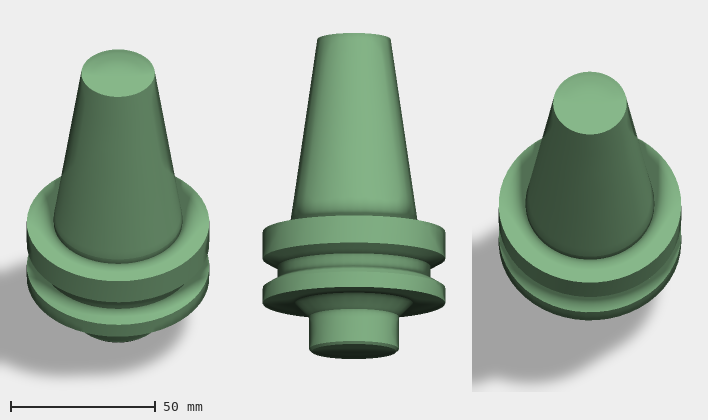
import cadquery as cq

flange_diameter = 63.0
groove_diameter = 53.0
taper_large_diameter = 44.4
taper_small_diameter = 25.4
nose_diameter = 31.0
neck_cone_diameter = 40.9

total_height = 109.4
nose_top = 12.1
flange_bottom = 17.0
lower_rim_top = 22.3
groove_bottom = 25.3
groove_top = 29.6
upper_rim_bottom = 32.5
flange_top = 42.0
taper_bottom = 44.0

nose_chamfer = 0.9


def tool_holder_body():
    """Revolve the half profile, given as (radius, height), about the Z axis."""
    flange_radius = flange_diameter / 2
    groove_radius = groove_diameter / 2
    taper_large_radius = taper_large_diameter / 2
    nose_radius = nose_diameter / 2
    profile = [
        (0, 0),
        (nose_radius - nose_chamfer, 0),
        (nose_radius, nose_chamfer),
        (nose_radius, nose_top),
        (neck_cone_diameter / 2, flange_bottom),
        (flange_radius, flange_bottom),
        (flange_radius, lower_rim_top),
        (groove_radius, groove_bottom),
        (groove_radius, groove_top),
        (flange_radius, upper_rim_bottom),
        (flange_radius, flange_top),
        (taper_large_radius, flange_top),
        (taper_large_radius, taper_bottom),
        (taper_small_diameter / 2, total_height),
        (0, total_height),
    ]
    return cq.Workplane("XZ").polyline(profile).close().revolve(360, (0, 0), (0, 1))


result = tool_holder_body()